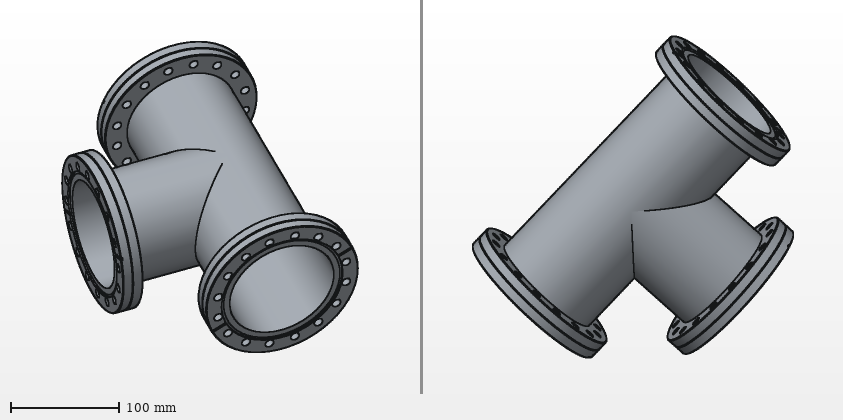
import cadquery as cq
import math

run_length = 270.0
arm_length = run_length / 2

tube_outer_diameter = 108.0
bore_diameter = 104.0

flange_diameter = 152.0
flange_thickness = 20.0
edge_chamfer = 0.8
rim_groove_width = 0.8
rim_groove_depth = 0.5

recess_diameter = 121.0
knife_edge_diameter = 116.0
recess_depth = 2.0
land_depth = 1.0

bolt_count = 16
bolt_hole_diameter = 8.5
bolt_circle_diameter = 130.1
bolt_pitch_angle = 360.0 / bolt_count

leak_groove_width = 2.2
leak_groove_depth = 2.0
leak_groove_angle = bolt_pitch_angle

port_angles = (0, 180, -90)


def along_x(shape, angle):
    """Turn a shape made along +Z so it runs along +X, then swing it about Z."""
    laid_down = shape.rotate((0, 0, 0), (0, 0, 1), 90).rotate((0, 0, 0), (0, 1, 0), 90)
    return laid_down.rotate((0, 0, 0), (0, 0, 1), angle)


def cylinder(diameter, bottom, height):
    return cq.Workplane("XY").workplane(offset=bottom).circle(diameter / 2).extrude(height)


def flange_body():
    """Chamfered disc with a shallow groove around the middle of its rim."""
    bottom = arm_length - flange_thickness
    disc = cylinder(flange_diameter, bottom, flange_thickness).edges().chamfer(edge_chamfer)
    groove = (
        cq.Workplane("XY")
        .workplane(offset=arm_length - flange_thickness / 2 - rim_groove_width / 2)
        .circle(flange_diameter / 2 + rim_groove_depth)
        .circle(flange_diameter / 2 - rim_groove_depth)
        .extrude(rim_groove_width)
    )
    return disc.cut(groove)


def sealing_recess():
    """Turned pocket: straight outer wall, cone rising to the knife edge, flat land inside."""
    recess_radius = recess_diameter / 2
    land_level = arm_length - land_depth
    profile = (
        cq.Workplane("XZ")
        .moveTo(0, arm_length)
        .lineTo(recess_radius, arm_length)
        .lineTo(recess_radius, arm_length - recess_depth)
        .lineTo(knife_edge_diameter / 2, land_level)
        .lineTo(0, land_level)
        .close()
    )
    return profile.revolve(360, (0, 0, 0), (0, 1, 0))


def bolt_holes():
    return (
        cq.Workplane("XY")
        .workplane(offset=arm_length - flange_thickness)
        .polarArray(bolt_circle_diameter / 2, bolt_pitch_angle / 2, 360, bolt_count)
        .circle(bolt_hole_diameter / 2)
        .extrude(flange_thickness)
    )


def leak_grooves():
    """Two opposite radial grooves from the recess wall out through the rim."""
    inner_radius = math.sqrt((recess_diameter / 2) ** 2 - (leak_groove_width / 2) ** 2)
    outer_radius = flange_diameter / 2
    groove_length = outer_radius - inner_radius
    middle_radius = (inner_radius + outer_radius) / 2
    return (
        cq.Workplane("XY")
        .workplane(offset=arm_length - leak_groove_depth)
        .transformed(rotate=(0, 0, leak_groove_angle))
        .pushPoints([(middle_radius, 0), (-middle_radius, 0)])
        .rect(groove_length, leak_groove_width)
        .extrude(leak_groove_depth)
    )


flange = flange_body().cut(sealing_recess()).cut(bolt_holes()).cut(leak_grooves())

tube_length = arm_length - flange_thickness / 2
run_tube = along_x(cylinder(tube_outer_diameter, -tube_length, 2 * tube_length), 0)
branch_tube = along_x(cylinder(tube_outer_diameter, 0, tube_length), -90)
tee = run_tube.union(branch_tube)

for port_angle in port_angles:
    tee = tee.union(along_x(flange, port_angle))

run_bore = along_x(cylinder(bore_diameter, -arm_length, run_length), 0)
branch_bore = along_x(cylinder(bore_diameter, 0, arm_length), -90)
result = tee.cut(run_bore).cut(branch_bore)